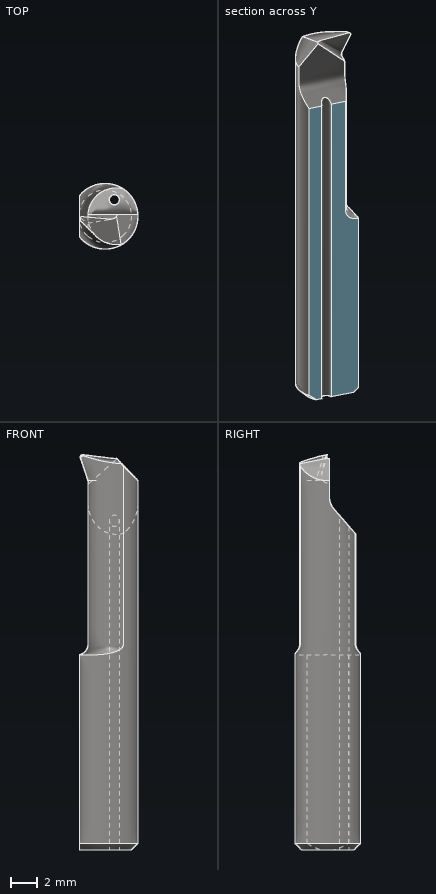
import cadquery as cq
import math

total_length = 30.0
shank_radius = 2.5
flat_x = -1.95
shank_chamfer = 0.5
shoulder_z = 14.8

neck_x = 0.84
neck_radius = 2.15
neck_fillet = 0.8

tip_y = -0.04
tip_x = -1.9
nose_radius = 0.2
end_slope = math.radians(6.2)
back_slope = math.radians(46.0)
ridge_x = 0.87
crown_relief = (0.16, -1.0, -0.2)

tooth_bottom_z = 28.04
flank_angle = math.radians(17.0)

notch_floor_y = 0.14
notch_straight_z = 26.78
notch_fillet = 1.4
notch_slope = math.radians(41.0)

rake_angle = math.radians(15.5)
rake_skew = math.radians(3.0)
groove_point = (-1.31, -0.59, 28.06)
groove_rise = math.radians(41.3)
groove_side_slope = math.radians(24.0)
groove_fillet = 0.25

coolant_diameter = 0.75
coolant_x = 0.7
coolant_y = 1.25

reach = 12.0


def relief_prism(profile):
    """Sweep an XZ profile obliquely along the crown relief direction."""
    wire = profile.wires().val()
    sweep = cq.Vector(*crown_relief) * reach
    return cq.Workplane(obj=cq.Solid.extrudeLinear(wire, [], sweep))


def relief_plane():
    """XZ plane set behind the tip, following the relief direction back."""
    back = reach / 3
    shift_x, _, shift_z = (-back * part for part in crown_relief)
    return cq.Workplane("XZ", origin=(shift_x, tip_y + back, shift_z))


def end_line_z(x):
    """Height of the end face in the tip plane."""
    nose_x = tip_x + nose_radius
    nose_z = total_length - nose_radius
    return nose_z + nose_radius / math.cos(end_slope) - (x - nose_x) * math.tan(end_slope)


def make_bar():
    bar = cq.Workplane("XY").circle(shank_radius).extrude(total_length)
    bar = bar.faces("<Z").chamfer(shank_chamfer)
    flat = cq.Workplane("XY").box(reach, reach, total_length, centered=(False, True, False))
    return bar.intersect(flat.translate((flat_x, 0, 0)))


def make_neck_envelope():
    """Full-width below the shoulder, neck radius above, joined by a concave fillet."""
    fillet_outer = neck_radius + neck_fillet
    fillet_top_z = shoulder_z + neck_fillet
    return (
        cq.Workplane("XZ", origin=(neck_x, 0, 0))
        .lineTo(reach, 0)
        .lineTo(reach, shoulder_z)
        .lineTo(fillet_outer, shoulder_z)
        .radiusArc((neck_radius, fillet_top_z), neck_fillet)
        .lineTo(neck_radius, total_length)
        .lineTo(0, total_length)
        .close()
        .revolve(360, (0, 0), (0, 1))
    )


def make_crown_envelope():
    ridge_z = end_line_z(ridge_x)
    profile = (
        relief_plane()
        .moveTo(-reach, -reach)
        .lineTo(-reach, end_line_z(-reach))
        .lineTo(ridge_x, ridge_z)
        .lineTo(ridge_x + reach, ridge_z - reach * math.tan(back_slope))
        .lineTo(ridge_x + reach, -reach)
        .close()
    )
    return relief_prism(profile)


def make_tooth():
    """Block tangent to the neck, trimmed by the end face, round nose and flank."""
    tangent_offset = neck_radius * math.sin(math.radians(45))
    tangent_x = neck_x - tangent_offset
    outer_x = flat_x - nose_radius
    block = (
        cq.Workplane("XY", origin=(0, 0, tooth_bottom_z))
        .moveTo(tangent_x, -tangent_offset)
        .lineTo(outer_x, -tangent_offset + tangent_x - outer_x)
        .lineTo(outer_x, notch_floor_y)
        .lineTo(neck_x, notch_floor_y)
        .close()
        .extrude(total_length)
    )
    nose_x = tip_x + nose_radius
    nose_z = total_length - nose_radius
    arc_mid = (3 * math.pi / 2 - end_slope + flank_angle) / 2
    flank_x = nose_x - nose_radius * math.cos(flank_angle)
    flank_z = nose_z - nose_radius * math.sin(flank_angle)
    flank_drop = reach / 2
    profile = (
        relief_plane()
        .moveTo(ridge_x, end_line_z(ridge_x))
        .lineTo(nose_x + nose_radius * math.sin(end_slope), nose_z + nose_radius * math.cos(end_slope))
        .threePointArc(
            (nose_x + nose_radius * math.cos(arc_mid), nose_z + nose_radius * math.sin(arc_mid)),
            (flank_x, flank_z),
        )
        .lineTo(flank_x + flank_drop * math.tan(flank_angle), flank_z - flank_drop)
        .lineTo(ridge_x, flank_z - flank_drop)
        .close()
    )
    return block.intersect(relief_prism(profile))


def make_notch():
    """Flat floor running out through a fillet and a slope towards +Y."""
    arc_end_y = notch_floor_y + notch_fillet * (1 - math.cos(notch_slope))
    arc_end_z = notch_straight_z - notch_fillet * math.sin(notch_slope)
    runout = reach / 2
    return (
        cq.Workplane("YZ", origin=(-reach / 2, 0, 0))
        .moveTo(notch_floor_y, total_length + reach)
        .lineTo(notch_floor_y, notch_straight_z)
        .radiusArc((arc_end_y, arc_end_z), -notch_fillet)
        .lineTo(arc_end_y + runout, arc_end_z - runout / math.tan(notch_slope))
        .lineTo(arc_end_y + runout, total_length + reach)
        .close()
        .extrude(reach)
    )


def half_space(point, normal):
    """Large block on the normal side of a plane."""
    plane = cq.Plane(origin=point, normal=normal)
    return cq.Workplane(plane).rect(2 * reach, 2 * reach).extrude(reach)


def make_rake_groove():
    rake_normal = (math.tan(rake_skew), 1, -math.tan(rake_angle))
    ramp_normal = (-math.tan(groove_rise), math.tan(groove_side_slope), 1)
    groove = half_space(groove_point, rake_normal).intersect(half_space(groove_point, ramp_normal))
    root = cq.selectors.NearestToPointSelector(groove_point)
    return groove.edges(root).fillet(groove_fillet)


def make_coolant_bore():
    bore = cq.Workplane("XY").center(coolant_x, coolant_y)
    return bore.circle(coolant_diameter / 2).extrude(total_length)


body = make_bar().intersect(make_neck_envelope()).intersect(make_crown_envelope())
body = body.union(make_tooth())
body = body.cut(make_notch()).cut(make_rake_groove())
result = body.cut(make_coolant_bore()).clean()